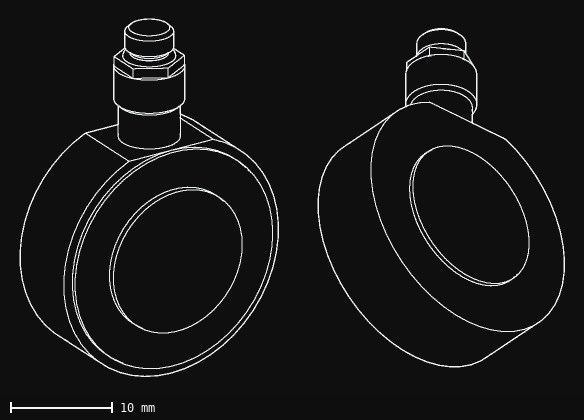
import cadquery as cq
import math

body_diameter = 25.0
body_width = 8.0
flat_height = 11.5
pad_diameter = 15.0
left_pad_height = 0.5
rim_diameter = 2 * flat_height
rim_height = 0.5
right_pad_height = 0.7

connector_top = 23.2
stem_diameter = 6.1
collar_diameter = 7.0
collar_taper_width = (collar_diameter - stem_diameter) / 2
collar_taper_height = 0.4
stem_length = 3.65
collar_length = 3.95
hex_height = 1.05
hex_across_flats = 6.0
ring_diameter = 5.2
ring_section_radius = 0.43
neck_diameter = 3.8
plug_diameter = 4.82
plug_length = 2.5
plug_top_chamfer = 0.4
plug_undercut_width = (plug_diameter - neck_diameter) / 2
plug_undercut_height = 0.43

collar_bottom = flat_height + stem_length
hex_bottom = collar_bottom + collar_length
hex_top = hex_bottom + hex_height
plug_bottom = connector_top - plug_length


def disc(diameter, start, width):
    """Cylinder along X, beginning at x = start."""
    return cq.Workplane("YZ", origin=(start, 0, 0)).circle(diameter / 2).extrude(width)


def post(diameter, bottom, top):
    """Cylinder along Z between two levels."""
    return cq.Workplane("XY", origin=(0, 0, bottom)).circle(diameter / 2).extrude(top - bottom)


def make_body():
    """Disc with a flat on top, a pad on each face and a rim on the +X face."""
    left = -body_width / 2
    right = body_width / 2
    above_flat = (
        cq.Workplane("XY", origin=(0, 0, flat_height))
        .rect(body_width, body_diameter)
        .extrude(body_diameter)
    )
    body = disc(body_diameter, left, body_width).cut(above_flat)
    body = body.union(disc(pad_diameter, left - left_pad_height, left_pad_height))
    body = body.union(disc(rim_diameter, right, rim_height))
    return body.union(disc(pad_diameter, right, rim_height + right_pad_height))


def make_connector():
    """Stem, tapered collar, hexagon, round-section ring, neck and plug, stacked upward."""
    stem = post(stem_diameter, flat_height, hex_bottom)
    collar = post(collar_diameter, collar_bottom, hex_bottom)
    collar = collar.faces("<Z").edges().chamfer(collar_taper_height, collar_taper_width)
    hexagon = (
        cq.Workplane("XY", origin=(0, 0, hex_bottom))
        .polygon(6, hex_across_flats / math.cos(math.pi / 6))
        .extrude(hex_height)
    )
    ring_center_radius = ring_diameter / 2 - ring_section_radius
    ring = (
        cq.Workplane("XZ")
        .center(ring_center_radius, hex_top)
        .circle(ring_section_radius)
        .revolve(360, (-ring_center_radius, 0), (-ring_center_radius, 1))
    )
    neck = post(neck_diameter, hex_top, connector_top)
    plug = post(plug_diameter, plug_bottom, connector_top)
    plug = plug.faces(">Z").chamfer(plug_top_chamfer)
    plug = plug.faces("<Z").edges().chamfer(plug_undercut_height, plug_undercut_width)
    return stem.union(collar).union(hexagon).union(ring).union(neck).union(plug)


result = make_body().union(make_connector())